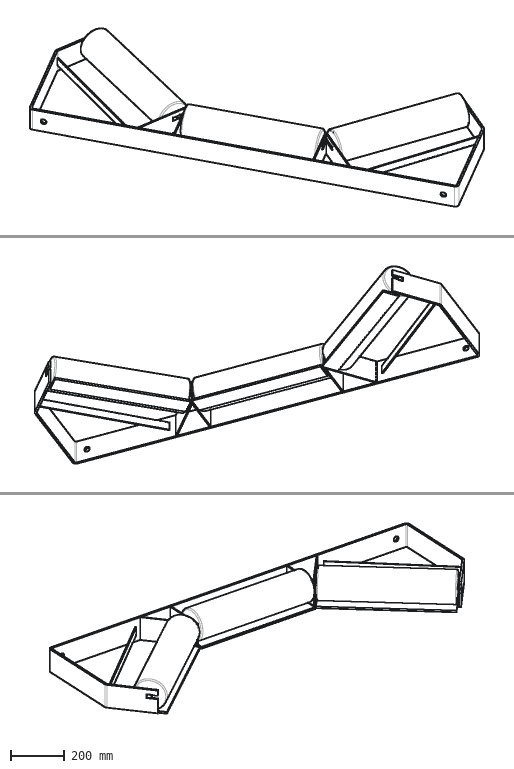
import cadquery as cq
import math

frame_width = 1680.0
frame_depth = 363.0
frame_height = 97.0
frame_bottom = 5.0
bar_thickness = 8.0
bend_radius = 13.0
wing_length = 202.0
mount_hole_diameter = 22.0
mount_hole_inset = 57.0

roller_diameter = 133.0
roller_length = 531.0
rim_radius = 5.0
lip_drop = 7.0
lip_thickness = 8.0
wing_angle = 40.0
center_roller_y = 128.0
wing_roller_x = 517.0
wing_roller_y = 310.0

shaft_diameter = 20.0
shaft_flat = 15.0
shaft_length = 555.0

bracket_thickness = 5.0
upright_x = 270.0
upright_end_y = 178.0
brace_foot_x = 417.0
brace_length = 225.0

strut_thickness = 5.0
strut_height = 34.0
strut_angle = 41.5
strut_start_y = 356.0
strut_length = 520.0

half_width = frame_width / 2
frame_mid_z = frame_bottom + frame_height / 2
roller_radius = roller_diameter / 2
axis_z = lip_drop + roller_radius
wing_slope = 90 - wing_angle


def mirrored(body):
    return body.mirror("YZ")


def turned(body, x, y, angle):
    """Turn a body about Z, then move it to x, y."""
    return body.rotate((0, 0, 0), (0, 0, 1), angle).translate((x, y, 0))


def plate(x, y, angle, length, thickness, height):
    """Upright plate at mid height of the frame, running from x, y at an angle, thickness on its left."""
    blank = cq.Workplane("XY").box(length, thickness, height, centered=(False, False, True))
    return turned(blank.translate((0, 0, frame_mid_z)), x, y, angle)


def slot_cutter(x, y, angle):
    """Slots for the shaft of the roller at x, y, open toward its rear side."""
    depth = roller_diameter
    length = shaft_length + roller_radius
    blank = cq.Workplane("XY").box(length, depth, shaft_flat)
    return turned(blank.translate((0, (depth - shaft_diameter) / 2, axis_z)), x, y, angle)


def bent_profile(offset, length):
    """Solid inside the bent frame outline moved inward by offset, its four bends rounded.

    Each wing of the outline has the given length and ends square, at a right angle to the wing.
    """
    slope = math.radians(wing_slope)
    corner_x = half_width - offset
    corner_y = frame_depth - offset * math.tan(math.radians(wing_angle / 2))
    tip_x = corner_x - length * math.cos(slope)
    tip_y = corner_y + length * math.sin(slope)
    end_run = 2 * bar_thickness
    end_x = tip_x - end_run * math.sin(slope)
    end_y = tip_y - end_run * math.cos(slope)
    right_side = [(corner_x, offset), (corner_x, corner_y), (tip_x, tip_y), (end_x, end_y)]
    left_side = [(-x, y) for x, y in reversed(right_side)]
    outline = cq.Workplane("XY", origin=(0, 0, frame_bottom)).polyline(right_side + left_side).close()
    bends = cq.selectors.BoxSelector(
        (-frame_width, -frame_depth, -frame_height), (frame_width, (corner_y + end_y) / 2, 2 * frame_height)
    )
    return outline.extrude(frame_height).edges("|Z").edges(bends).fillet(bend_radius - offset)


rail_space = cq.Workplane("XY").box(frame_width, 2 * bar_thickness, 4 * frame_height)

center_slot = slot_cutter(0, center_roller_y, 0)
wing_slot = slot_cutter(-wing_roller_x, wing_roller_y, -wing_angle)


def build_frame():
    outside = bent_profile(0, wing_length)
    inside = bent_profile(bar_thickness, wing_length + bend_radius)
    hole_x = half_width - mount_hole_inset
    holes = (
        cq.Workplane("XZ", origin=(0, bar_thickness, frame_mid_z))
        .pushPoints([(-hole_x, 0), (hole_x, 0)])
        .circle(mount_hole_diameter / 2)
        .extrude(bar_thickness)
    )
    return outside.cut(inside).cut(holes).cut(wing_slot).cut(mirrored(wing_slot))


def build_roller(x, y, angle):
    drum = cq.Workplane("YZ", origin=(-roller_length / 2, 0, 0)).circle(roller_radius).extrude(roller_length)
    drum = drum.edges("%CIRCLE").fillet(rim_radius)
    lip = cq.Workplane("XY").box(roller_length, roller_radius, lip_thickness, centered=(True, False, False))
    shaft = cq.Workplane("YZ", origin=(-shaft_length / 2, 0, 0)).circle(shaft_diameter / 2).extrude(shaft_length)
    flats = cq.Workplane("XY").box(shaft_length, shaft_diameter, shaft_flat)
    roller = drum.union(lip.translate((0, 0, -axis_z))).union(shaft.intersect(flats))
    return turned(roller.translate((0, 0, axis_z)), x, y, angle)


def build_bracket():
    upright = plate(-upright_x, 0, 90, upright_end_y, bracket_thickness, frame_height)
    brace = plate(-brace_foot_x, 0, wing_slope, brace_length, bracket_thickness, frame_height)
    return upright.cut(center_slot).union(brace.cut(wing_slot)).cut(rail_space)


def build_strut():
    strut = plate(
        bar_thickness - half_width, strut_start_y, -strut_angle, strut_length, strut_thickness, strut_height
    )
    return strut.cut(rail_space)


frame = build_frame()
left_bracket = build_bracket()
left_strut = build_strut()
roller_places = [
    (0, center_roller_y, 0),
    (-wing_roller_x, wing_roller_y, -wing_angle),
    (wing_roller_x, wing_roller_y, wing_angle),
]
rollers = [build_roller(*place) for place in roller_places]
brackets = [left_bracket, mirrored(left_bracket)]
struts = [left_strut, mirrored(left_strut)]

result = cq.Compound.makeCompound([body.solids().val() for body in [frame, *rollers, *brackets, *struts]])